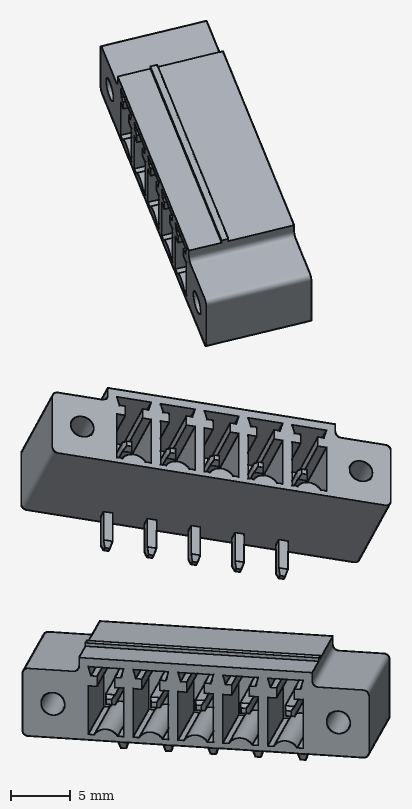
import cadquery as cq

CONTACT_COUNT = 5
PITCH = 3.81
BODY_DEPTH = 9.2
FRONT_Y = -BODY_DEPTH / 2
BACK_Y = BODY_DEPTH / 2

FLANGE_SPAN = 29.44
FLANGE_HEIGHT = 6.0
CORE_WIDTH = 19.8
CORE_HEIGHT = 7.25
CORNER_RADIUS = 0.5

RIDGE_HEIGHT = 0.3
RIDGE_WIDTH = 0.6
RIDGE_SETBACK = 2.85

INSERT_X = 12.12
INSERT_Z = 3.0
INSERT_DIAMETER = 4.0
INSERT_HOLE_DIAMETER = 2.0

POCKET_DEPTH = 7.0
POCKET_WIDTH = 3.0
POCKET_FLOOR_Z = 0.5
POCKET_ROOF_Z = 6.5
NECK_WIDTH = 1.5
NECK_BOTTOM_Z = 4.8
NECK_TOP_Z = 5.7
DOVETAIL_NARROW_WIDTH = 2.54
HUMP_WIDTH = 2.0
HUMP_HEIGHT = 0.55

PIN_WIDTH = 0.8
PIN_THICKNESS = 0.9
PIN_TIP_SIZE = 0.45
PIN_TAPER = 0.6
PIN_AXIS_Z = 2.98
PIN_BELOW_BODY = 3.4
PIN_LEG_Y = BACK_Y - 1.15
PIN_TIP_SETBACK = 1.4

contact_xs = [(i - (CONTACT_COUNT - 1) / 2) * PITCH for i in range(CONTACT_COUNT)]


def make_housing():
    """Wide flange block with rounded long edges and a taller core in the middle."""
    flange = (
        cq.Workplane("XY")
        .box(FLANGE_SPAN, BODY_DEPTH, FLANGE_HEIGHT, centered=(True, True, False))
        .edges("|Y")
        .fillet(CORNER_RADIUS)
    )
    core = cq.Workplane("XY").box(CORE_WIDTH, BODY_DEPTH, CORE_HEIGHT, centered=(True, True, False))
    inner_corners = cq.selectors.BoxSelector(
        (-CORE_WIDTH / 2 - CORNER_RADIUS / 2, FRONT_Y, FLANGE_HEIGHT - CORNER_RADIUS / 2),
        (CORE_WIDTH / 2 + CORNER_RADIUS / 2, BACK_Y, FLANGE_HEIGHT + CORNER_RADIUS / 2),
    )
    return flange.union(core).edges("|Y").edges(inner_corners).fillet(CORNER_RADIUS)


def make_ridge():
    """Low rib running the full width of the core's top face."""
    return (
        cq.Workplane("XY", origin=(0, FRONT_Y + RIDGE_SETBACK + RIDGE_WIDTH / 2, CORE_HEIGHT))
        .box(CORE_WIDTH, RIDGE_WIDTH, RIDGE_HEIGHT, centered=(True, True, False))
    )


def front_cylinder(x, diameter):
    """Cylinder reaching from the mating face to the pocket depth, on an insert axis."""
    return (
        cq.Workplane("XZ", origin=(x, FRONT_Y, INSERT_Z))
        .circle(diameter / 2)
        .extrude(-POCKET_DEPTH)
    )


def make_pocket(x):
    """Plug pocket: chamber with an arched floor, a keying neck and a dovetail above it."""
    side = POCKET_WIDTH / 2
    neck = NECK_WIDTH / 2
    dovetail = DOVETAIL_NARROW_WIDTH / 2
    hump = HUMP_WIDTH / 2
    return (
        cq.Workplane("XZ", origin=(x, FRONT_Y, 0))
        .moveTo(-side, POCKET_FLOOR_Z)
        .lineTo(-hump, POCKET_FLOOR_Z)
        .threePointArc((0, POCKET_FLOOR_Z + HUMP_HEIGHT), (hump, POCKET_FLOOR_Z))
        .lineTo(side, POCKET_FLOOR_Z)
        .lineTo(side, NECK_BOTTOM_Z)
        .lineTo(neck, NECK_BOTTOM_Z)
        .lineTo(neck, NECK_TOP_Z)
        .lineTo(dovetail, NECK_TOP_Z)
        .lineTo(side, POCKET_ROOF_Z)
        .lineTo(-side, POCKET_ROOF_Z)
        .lineTo(-dovetail, NECK_TOP_Z)
        .lineTo(-neck, NECK_TOP_Z)
        .lineTo(-neck, NECK_BOTTOM_Z)
        .lineTo(-side, NECK_BOTTOM_Z)
        .close()
        .extrude(-POCKET_DEPTH)
    )


def make_bar(plane, length):
    """Rectangular bar along the plane normal, ending in a pyramid-shaped tip."""
    shank_length = length - PIN_TAPER
    shank = cq.Workplane(plane).rect(PIN_WIDTH, PIN_THICKNESS).extrude(shank_length)
    tip = (
        cq.Workplane(plane)
        .workplane(offset=shank_length)
        .rect(PIN_WIDTH, PIN_THICKNESS)
        .workplane(offset=PIN_TAPER)
        .rect(PIN_TIP_SIZE, PIN_TIP_SIZE)
        .loft(ruled=True)
    )
    return shank.union(tip)


def make_pin(x):
    """Contact arm pointing to the mating face and solder leg pointing down."""
    bend = (x, PIN_LEG_Y, PIN_AXIS_Z)
    arm_plane = cq.Plane(origin=bend, xDir=(1, 0, 0), normal=(0, -1, 0))
    leg_plane = cq.Plane(origin=bend, xDir=(1, 0, 0), normal=(0, 0, -1))
    arm = make_bar(arm_plane, PIN_LEG_Y - FRONT_Y - PIN_TIP_SETBACK)
    leg = make_bar(leg_plane, PIN_AXIS_Z + PIN_BELOW_BODY)
    return arm.union(leg)


result = make_housing().union(make_ridge())

for contact_x in contact_xs:
    result = result.cut(make_pocket(contact_x)).union(make_pin(contact_x))

for insert_x in (-INSERT_X, INSERT_X):
    insert_body = front_cylinder(insert_x, INSERT_DIAMETER)
    insert_hole = front_cylinder(insert_x, INSERT_HOLE_DIAMETER)
    result = result.cut(insert_body, clean=False)
    result = result.union(insert_body.cut(insert_hole), clean=False)